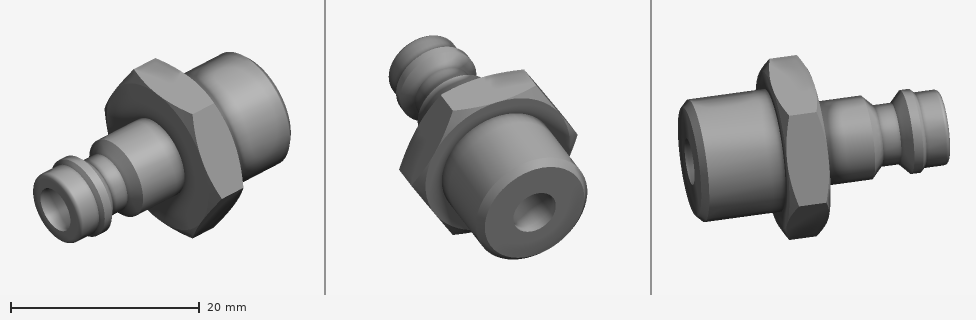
import cadquery as cq
import math

tip_end = 2.65
collar_start = 3.08
collar_end = 4.07
neck_start = 5.22
neck_end = 7.18
body_start = 8.33
hex_start = 14.02
hex_end = 18.5
total_length = 27.5

tip_diameter = 8.1
body_diameter = 9.0
neck_diameter = 6.6
shank_diameter = 13.15
bore_diameter = 5.0

tip_fillet = 0.5
shank_chamfer = 0.72
hex_chamfer_angle = 30.0

across_flats = 17.0
across_corners = across_flats / math.cos(math.radians(30))


def revolve_about_y(points):
    """Turn a closed (radius, Y) outline about the Y axis."""
    return cq.Workplane("XY").polyline(points).close().revolve(360, (0, 0, 0), (0, 1, 0))


def make_plug():
    tip_radius = tip_diameter / 2
    body_radius = body_diameter / 2
    neck_radius = neck_diameter / 2
    plug = revolve_about_y([
        (0, 0),
        (tip_radius, 0),
        (tip_radius, tip_end),
        (body_radius, collar_start),
        (body_radius, collar_end),
        (neck_radius, neck_start),
        (neck_radius, neck_end),
        (body_radius, body_start),
        (body_radius, hex_start),
        (0, hex_start),
    ])
    return plug.faces("<Y").edges().fillet(tip_fillet)


def make_hex():
    prism = (
        cq.Workplane("XZ", origin=(0, hex_start, 0))
        .polygon(6, across_corners)
        .extrude(hex_start - hex_end)
    )
    inner_radius = across_flats / 2
    outer_radius = across_corners / 2
    chamfer_depth = (outer_radius - inner_radius) * math.tan(math.radians(hex_chamfer_angle))
    envelope = revolve_about_y([
        (0, hex_start),
        (inner_radius, hex_start),
        (outer_radius, hex_start + chamfer_depth),
        (outer_radius, hex_end - chamfer_depth),
        (inner_radius, hex_end),
        (0, hex_end),
    ])
    return prism.intersect(envelope)


def make_shank():
    shank = (
        cq.Workplane("XZ", origin=(0, hex_end, 0))
        .circle(shank_diameter / 2)
        .extrude(hex_end - total_length)
    )
    return shank.faces(">Y").edges().chamfer(shank_chamfer)


def make_bore():
    return cq.Workplane("XZ").circle(bore_diameter / 2).extrude(-total_length)


result = make_plug().union(make_hex()).union(make_shank()).cut(make_bore())